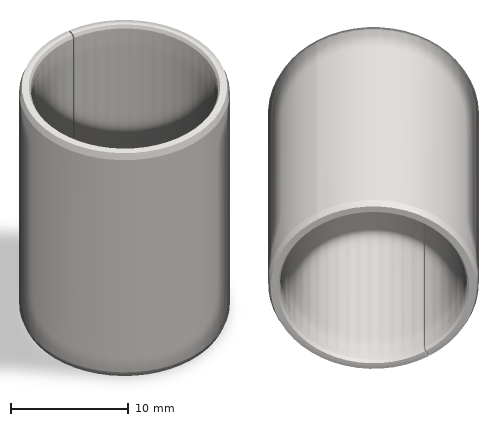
import cadquery as cq

length = 25.0
outer_radius = 9.0
wall = 1.0
bore_radius = outer_radius - wall

outer_chamfer_height = 0.6
outer_chamfer_depth = 0.22
bore_chamfer_height = 0.3
bore_chamfer_depth = 0.18

slit_width = 0.15


def make_sleeve():
    """Revolve the wall section, chamfered at all four corners, around Z."""
    end = length / 2
    outer_chamfer_start = end - outer_chamfer_height
    bore_chamfer_start = end - bore_chamfer_height
    face_outer_radius = outer_radius - outer_chamfer_depth
    face_inner_radius = bore_radius + bore_chamfer_depth
    section = (
        cq.Workplane("XZ")
        .moveTo(bore_radius, -bore_chamfer_start)
        .lineTo(face_inner_radius, -end)
        .lineTo(face_outer_radius, -end)
        .lineTo(outer_radius, -outer_chamfer_start)
        .lineTo(outer_radius, outer_chamfer_start)
        .lineTo(face_outer_radius, end)
        .lineTo(face_inner_radius, end)
        .lineTo(bore_radius, bore_chamfer_start)
        .close()
    )
    return section.revolve(360, (0, 0, 0), (0, 1, 0))


def make_slit_cutter():
    """Thin full-length plate that splits the wall on the -X side only."""
    plate = cq.Workplane("XY").box(outer_radius, slit_width, length)
    return plate.translate((-outer_radius / 2, slit_width / 2, 0))


result = make_sleeve().cut(make_slit_cutter())